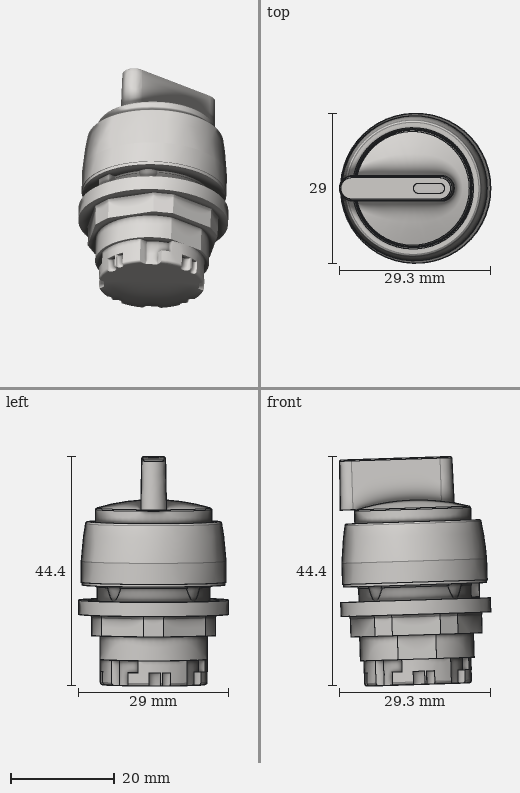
import cadquery as cq
import math

LEAN_ANGLE = 1.85

BODY_BOTTOM = 4.95
NUT_BOTTOM = 9.6
NUT_FLARE_BOTTOM = 13.1
FLANGE_BOTTOM = 13.6
FLANGE_TOP = 16.35
COLLAR_BOTTOM = 18.9
BEZEL_BOTTOM = 19.25
BEZEL_LIP_TOP = 19.8
BEZEL_SHOULDER = 23.9
BEZEL_TOP = 31.5
CAP_RIM = 34.15
CAP_PEAK = 35.75
HANDLE_TOP = 43.85

BASE_DIAMETER = 20.75
BASE_FILLET = 0.55
BAYONET_FLOOR_DIAMETER = 18.4
BAYONET_STEP_HEIGHT = 2.58
BAYONET_SIDE = 6.45
BAYONET_ENTRY = 4.95
BAYONET_LOCK = 3.0
CHANNELS = ((0.2, 2.2), (2.5, 1.6))

BODY_DIAMETER = 22.02
BODY_FLAT_WIDTH = BASE_DIAMETER
NUT_ACROSS_FLATS = 23.95
NUT_ACROSS_CORNERS = 25.4
NUT_FLARE = 0.15

FLANGE_DIAMETER = 29.0
FLANGE_RECESS_DIAMETER = 25.35
FLANGE_RECESS_DEPTH = 2.3
NECK_DIAMETER = 21.85
NECK_BOTTOM = 16.1
UNDERCUT_DIAMETER = 21.22
UNDERCUT_BOTTOM = 14.87
COLLAR_DIAMETER = 22.1
RIB_TOP_DIAMETER = 5.05
RIB_TIP_DIAMETER = 3.5
RIB_TIP_HEIGHT = FLANGE_TOP
KEY_REACH = 12.45
KEY_WIDTH = 3.1
KEY_BOTTOM = 16.55

BEZEL_DIAMETER = 28.0
BEZEL_LIP_DIAMETER = 27.65
BEZEL_TOP_DIAMETER = 26.2
BEZEL_BULGE = 0.15
BEZEL_BORE = 22.9
BEZEL_FILLET = 0.4
BEZEL_BORE_CHAMFER = 0.25
BEZEL_GROOVE_DEPTH = 1.35
GROOVE_FLOOR = BEZEL_TOP - BEZEL_GROOVE_DEPTH

CAP_DIAMETER = 22.5
CAP_CHAMFER = 0.25
HANDLE_LENGTH = 22.1
HANDLE_WIDTH = 4.97
HANDLE_CENTRE = -2.95
HANDLE_DRAFT = 1.0
HANDLE_CHAMFER = 0.25
MARK_LENGTH = 6.05
MARK_WIDTH = 1.95
MARK_CENTRE = 3.5
MARK_DEPTH = 0.1

QUARTER_TURNS = (0, 90, 180, 270)


def cylinder(diameter, bottom, top):
    return cq.Workplane("XY").workplane(offset=bottom).circle(diameter / 2).extrude(top - bottom)


def box_between(x_range, y_range, z_range):
    size = [end - start for start, end in (x_range, y_range, z_range)]
    corner = (x_range[0], y_range[0], z_range[0])
    return cq.Workplane("XY").box(*size, centered=False).translate(corner)


def around_axis(solid, angle):
    return solid.rotate((0, 0, 0), (0, 0, 1), angle)


def hexagon(across_flats, bottom, top, taper=0):
    across_points = across_flats / math.cos(math.pi / 6)
    plane = cq.Workplane("XY").workplane(offset=bottom)
    return plane.polygon(6, across_points).extrude(top - bottom, taper=taper)


def make_nut_prism(bottom, top, taper=0):
    flats = hexagon(NUT_ACROSS_FLATS, bottom, top, taper)
    corners = around_axis(hexagon(NUT_ACROSS_CORNERS, bottom, top, taper), 30)
    return flats.intersect(corners)


def make_base():
    base = cylinder(BASE_DIAMETER, 0, BODY_BOTTOM).faces("<Z").edges().fillet(BASE_FILLET)

    outside = -BASE_DIAMETER
    entry = box_between((outside, -BAYONET_ENTRY), (outside, -BAYONET_SIDE), (0, BODY_BOTTOM))
    lock = box_between(
        (outside, -BAYONET_LOCK), (outside, -BAYONET_SIDE), (BAYONET_STEP_HEIGHT, BODY_BOTTOM)
    )
    core = cylinder(BAYONET_FLOOR_DIAMETER, 0, BODY_BOTTOM)
    cutter = entry.union(lock).cut(core)

    for offset, diameter in CHANNELS:
        reach = math.sqrt((BASE_DIAMETER / 2) ** 2 - offset ** 2)
        channel = cylinder(diameter, 0, BAYONET_STEP_HEIGHT).translate((offset, -reach, 0))
        cutter = cutter.union(channel)

    for angle in QUARTER_TURNS:
        base = base.cut(around_axis(cutter, angle))
    return base


def make_body():
    body = cylinder(BODY_DIAMETER, BODY_BOTTOM, NUT_BOTTOM)
    half_flat = BODY_FLAT_WIDTH / 2
    flats = box_between(
        (-BODY_DIAMETER, BODY_DIAMETER), (-half_flat, half_flat), (BODY_BOTTOM, NUT_BOTTOM)
    )
    return body.intersect(flats)


def make_nut():
    flare_height = FLANGE_BOTTOM - NUT_FLARE_BOTTOM
    flare_angle = math.degrees(math.atan(NUT_FLARE / flare_height))
    straight = make_nut_prism(NUT_BOTTOM, NUT_FLARE_BOTTOM)
    flare = make_nut_prism(NUT_FLARE_BOTTOM, FLANGE_BOTTOM, -flare_angle)
    return straight.union(flare)


def make_flange():
    flange = cylinder(FLANGE_DIAMETER, FLANGE_BOTTOM, FLANGE_TOP)
    recess = cylinder(FLANGE_RECESS_DIAMETER, FLANGE_TOP - FLANGE_RECESS_DEPTH, FLANGE_TOP)
    return flange.cut(recess)


def make_neck():
    neck = cylinder(NECK_DIAMETER, FLANGE_BOTTOM, UNDERCUT_BOTTOM)
    neck = neck.union(cylinder(UNDERCUT_DIAMETER, UNDERCUT_BOTTOM, NECK_BOTTOM))
    neck = neck.union(cylinder(NECK_DIAMETER, NECK_BOTTOM, BEZEL_BOTTOM))
    neck = neck.union(cylinder(COLLAR_DIAMETER, COLLAR_BOTTOM, BEZEL_BOTTOM))

    rib_height = BEZEL_BOTTOM - RIB_TIP_HEIGHT
    rib_centre = (NECK_DIAMETER - RIB_TIP_DIAMETER) / 2
    rib = (
        cq.Workplane("XY").workplane(offset=RIB_TIP_HEIGHT).center(rib_centre, 0)
        .circle(RIB_TIP_DIAMETER / 2).workplane(offset=rib_height).circle(RIB_TOP_DIAMETER / 2).loft()
    )
    for angle in QUARTER_TURNS:
        neck = neck.union(around_axis(rib, angle + 45))

    key = box_between((0, KEY_REACH), (-KEY_WIDTH / 2, KEY_WIDTH / 2), (KEY_BOTTOM, BEZEL_BOTTOM))
    return neck.union(key)


def make_bezel():
    lip_radius = BEZEL_LIP_DIAMETER / 2
    radius = BEZEL_DIAMETER / 2
    top_radius = BEZEL_TOP_DIAMETER / 2
    bezel = (
        cq.Workplane("XZ").moveTo(0, BEZEL_BOTTOM)
        .lineTo(lip_radius, BEZEL_BOTTOM)
        .lineTo(lip_radius, BEZEL_LIP_TOP)
        .lineTo(radius, BEZEL_LIP_TOP)
        .lineTo(radius, BEZEL_SHOULDER)
        .sagittaArc((top_radius, BEZEL_TOP), -BEZEL_BULGE)
        .lineTo(0, BEZEL_TOP)
        .close()
        .revolve(360, (0, 0, 0), (0, 1, 0))
    )
    bezel = bezel.faces(">Z").edges().fillet(BEZEL_FILLET)
    bore = cylinder(BEZEL_BORE, GROOVE_FLOOR, BEZEL_TOP)
    rim_circle = cq.selectors.RadiusNthSelector(0)
    return bezel.cut(bore).faces(">Z").edges(rim_circle).chamfer(BEZEL_BORE_CHAMFER)


def make_cap():
    radius = CAP_DIAMETER / 2
    rim_radius = radius - CAP_CHAMFER
    rise = CAP_PEAK - CAP_RIM
    dome_radius = (rim_radius ** 2 + rise ** 2) / (2 * rise)
    half_chord = rim_radius / 2
    half_chord_height = CAP_PEAK - dome_radius + math.sqrt(dome_radius ** 2 - half_chord ** 2)
    return (
        cq.Workplane("XZ").moveTo(0, GROOVE_FLOOR)
        .lineTo(radius, GROOVE_FLOOR)
        .lineTo(radius, CAP_RIM - CAP_CHAMFER)
        .lineTo(rim_radius, CAP_RIM)
        .threePointArc((half_chord, half_chord_height), (0, CAP_PEAK))
        .close()
        .revolve(360, (0, 0, 0), (0, 1, 0))
    )


def make_handle():
    handle = (
        cq.Workplane("XY").workplane(offset=CAP_RIM).center(HANDLE_CENTRE, 0)
        .slot2D(HANDLE_LENGTH, HANDLE_WIDTH)
        .extrude(HANDLE_TOP - CAP_RIM, taper=HANDLE_DRAFT)
    )
    handle = handle.faces(">Z").edges().chamfer(HANDLE_CHAMFER)
    mark = (
        cq.Workplane("XY").workplane(offset=HANDLE_TOP - MARK_DEPTH).center(MARK_CENTRE, 0)
        .slot2D(MARK_LENGTH, MARK_WIDTH).extrude(MARK_DEPTH)
    )
    return handle.cut(mark)


upright = make_base()
for section in (
    make_body(), make_nut(), make_flange(), make_neck(), make_bezel(), make_cap(), make_handle()
):
    upright = upright.union(section)

result = upright.rotate((0, 0, 0), (0, 1, 0), -LEAN_ANGLE)